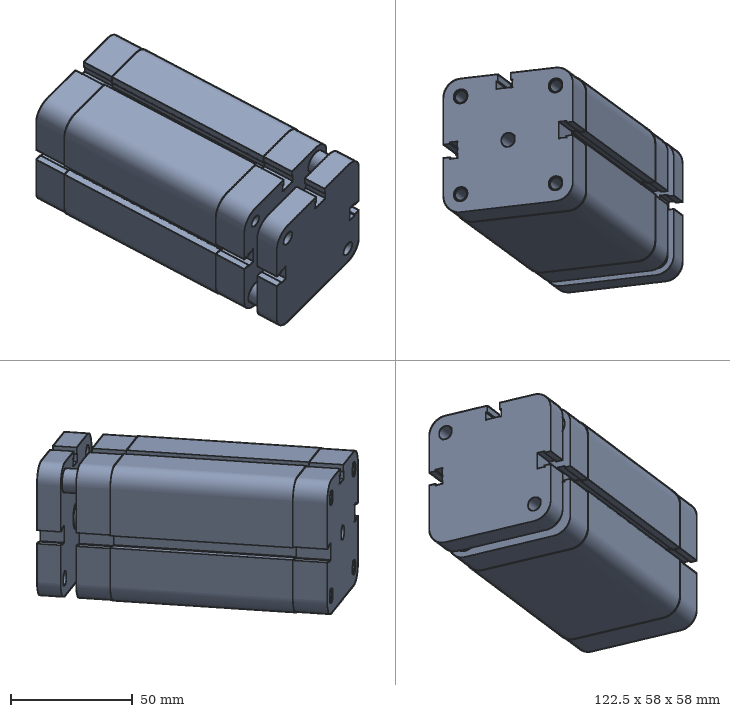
import cadquery as cq


total_length = 122.5
cap_length = 14.5
plate_thickness = 10.0
plate_gap = 6.5

tube_start = cap_length
plate_start = total_length - plate_thickness
front_cap_end = plate_start - plate_gap
front_cap_start = front_cap_end - cap_length
tube_length = front_cap_start - tube_start

tube_width = 58.0
cap_width = 57.5
corner_pitch = 42.0
corner_offset = corner_pitch / 2

slot_shift = 1.7
tube_neck_width = 5.3
cap_neck_width = 5.8
tube_groove_width = 6.4
cap_groove_width = 7.1
tube_neck_depth = 3.5
cap_neck_depth = 3.0
slot_floor = 22.4
slot_turns = (-90, 0, 90)

screw_hole_diameter = 5.1
countersink_diameter = 6.1
countersink_depth = (countersink_diameter - screw_hole_diameter) / 2
center_hole_diameter = 6.0
plate_hole_diameter = 6.0
guide_rod_diameter = 10.0
piston_rod_diameter = 12.0
rod_flat_distance = 10.0
rod_collar_length = 1.0
rod_flat_run_out = 0.4
rod_end_chamfer = 0.4

guide_corners = [(corner_offset, corner_offset), (-corner_offset, -corner_offset)]
screw_corners = [(-corner_offset, corner_offset), (corner_offset, -corner_offset)]


def cylinder_x(diameter, start, length, points):
    """Round bars along X, centred on the given (Y, Z) points."""
    plane = cq.Workplane("YZ", origin=(start, 0, 0))
    return plane.pushPoints(points).circle(diameter / 2).extrude(length)


def slot_cutter(start, length, width, neck_width, groove_width, neck_depth):
    """T-shaped slot in the +Z side, shifted towards +Y."""
    surface = width / 2
    groove_top = surface - neck_depth
    plane = cq.Workplane("YZ", origin=(start, 0, 0))
    neck = plane.center(slot_shift, (surface + slot_floor) / 2).rect(
        neck_width, surface - slot_floor
    ).extrude(length)
    groove = plane.center(slot_shift, (groove_top + slot_floor) / 2).rect(
        groove_width, groove_top - slot_floor
    ).extrude(length)
    return neck.union(groove)


def profile_block(start, length, width, neck_width, groove_width, neck_depth):
    """Rounded square bar with a slot in the top and in both sides."""
    block = (
        cq.Workplane("YZ", origin=(start, 0, 0))
        .rect(width, width)
        .extrude(length)
        .edges("|X")
        .fillet(width / 2 - corner_offset)
    )
    slot = slot_cutter(start, length, width, neck_width, groove_width, neck_depth)
    for turn in slot_turns:
        block = block.cut(slot.rotate((0, 0, 0), (1, 0, 0), turn))
    return block


def cap_block(start, length):
    return profile_block(start, length, cap_width, cap_neck_width, cap_groove_width, cap_neck_depth)


def make_rear_cap():
    corners = guide_corners + screw_corners
    cap = cap_block(0, cap_length)
    cap = cap.cut(cylinder_x(screw_hole_diameter, 0, cap_length, corners))
    for y, z in corners:
        countersink = cq.Solid.makeCone(
            countersink_diameter / 2,
            screw_hole_diameter / 2,
            countersink_depth,
            cq.Vector(0, y, z),
            cq.Vector(1, 0, 0),
        )
        cap = cap.cut(cq.Workplane(countersink))
    return cap.cut(cylinder_x(center_hole_diameter, 0, cap_length, [(0, 0)]))


def make_tube():
    tube = profile_block(
        tube_start, tube_length, tube_width, tube_neck_width, tube_groove_width, tube_neck_depth
    )
    return tube.cut(cylinder_x(screw_hole_diameter, tube_start, tube_length, screw_corners))


def make_front_cap():
    cap = cap_block(front_cap_start, cap_length)
    cap = cap.cut(cylinder_x(screw_hole_diameter, front_cap_start, cap_length, screw_corners))
    cap = cap.cut(cylinder_x(guide_rod_diameter, front_cap_start, cap_length, guide_corners))
    return cap.cut(cylinder_x(piston_rod_diameter, front_cap_start, cap_length, [(0, 0)]))


def make_piston_rod():
    """Rod through the front cap, with spanner flats above and below that run out on a slope."""
    rod = cylinder_x(piston_rod_diameter, front_cap_start, plate_start - front_cap_start, [(0, 0)])
    rod = rod.faces(">X").chamfer(rod_end_chamfer)
    radius = piston_rod_diameter / 2
    flat_height = rod_flat_distance / 2
    collar_end = front_cap_end + rod_collar_length
    flat_cut = (
        cq.Workplane("XZ")
        .polyline(
            [
                (collar_end, radius),
                (collar_end + rod_flat_run_out, flat_height),
                (plate_start, flat_height),
                (plate_start, radius),
            ]
        )
        .close()
        .extrude(radius, both=True)
    )
    return rod.cut(flat_cut).cut(flat_cut.mirror("XY"))


def make_yoke():
    """Front plate with two guide rods that run through the front cap."""
    plate = cap_block(plate_start, plate_thickness)
    plate = plate.cut(cylinder_x(plate_hole_diameter, plate_start, plate_thickness, screw_corners))
    rod_length = plate_start - front_cap_start
    return plate.union(cylinder_x(guide_rod_diameter, front_cap_start, rod_length, guide_corners))


rear_cap = make_rear_cap()
tube = make_tube()
front_cap = make_front_cap()
piston_rod = make_piston_rod()
yoke = make_yoke()

result = cq.Compound.makeCompound(
    [rear_cap.val(), tube.val(), front_cap.val(), piston_rod.val(), yoke.val()]
)